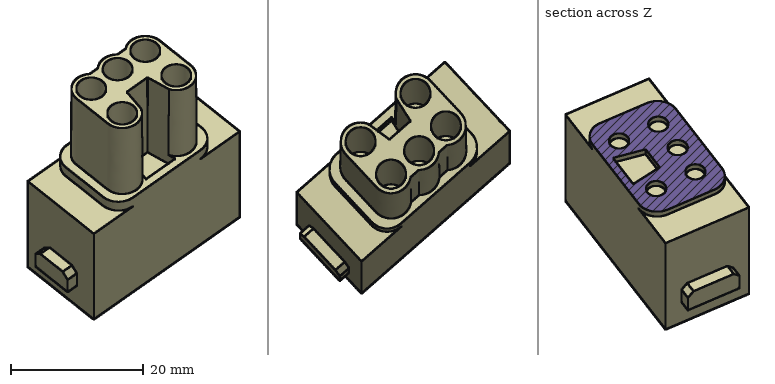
import cadquery as cq
import math

BODY_WIDTH = 14.6
BODY_LENGTH = 30.3
BODY_HEIGHT = 19.5

FLANGE_LENGTH = 20.45
FLANGE_HEIGHT = 2.0
FLANGE_RADIUS = 3.2
FLANGE_TOP = BODY_HEIGHT + FLANGE_HEIGHT

TOTAL_HEIGHT = 36.4
TOWER_HEIGHT = TOTAL_HEIGHT - FLANGE_TOP
LOBE_RADIUS = 3.1
DRAFT_INSET = 0.09
DRAFT_ANGLE = math.degrees(math.atan(DRAFT_INSET / TOWER_HEIGHT))
CONTACT_X = 3.42
CONTACT_Y = 5.6
MIDDLE_CONTACT_X = -3.55
WEB_LEFT = -5.85
WEB_RIGHT = CONTACT_X

HOLE_RADIUS = 2.25
BORE_RADIUS = 1.5
BORE_DEPTH = FLANGE_HEIGHT

KEY_INNER_X = 0.85
KEY_OUTER_X = 5.95
KEY_INNER_WIDTH = 4.15
KEY_OUTER_WIDTH = 6.05
KEY_POCKET_DEPTH = FLANGE_HEIGHT

TOTAL_LENGTH = 34.1
TAB_BOTTOM = 4.65
TAB_HEIGHT = 3.75
TAB_PROJECTION = (TOTAL_LENGTH - BODY_LENGTH) / 2
FRONT_TAB_WIDTH = 7.15
FRONT_TAB_CHAMFER = 1.1
BACK_TAB_WIDTH = 9.0
BACK_TAB_CHAMFER = 1.0
TAB_CHAMFER_HEIGHT = 0.95

KEY_CORNERS = [
    (KEY_INNER_X, -KEY_INNER_WIDTH / 2),
    (KEY_OUTER_X, -KEY_OUTER_WIDTH / 2),
    (KEY_OUTER_X, KEY_OUTER_WIDTH / 2),
    (KEY_INNER_X, KEY_INNER_WIDTH / 2),
]

CORNER_CONTACTS = [(x, y) for x in (-CONTACT_X, CONTACT_X) for y in (-CONTACT_Y, CONTACT_Y)]
CONTACTS = CORNER_CONTACTS + [(MIDDLE_CONTACT_X, 0)]


def make_body():
    block = cq.Workplane("XY").box(BODY_WIDTH, BODY_LENGTH, BODY_HEIGHT, centered=(True, True, False))
    flange = (
        cq.Workplane("XY", origin=(0, 0, BODY_HEIGHT))
        .rect(BODY_WIDTH, FLANGE_LENGTH)
        .extrude(FLANGE_HEIGHT)
        .edges("|Z")
        .fillet(FLANGE_RADIUS)
    )
    return block.union(flange)


def make_tab(width, chamfer_width, end_y):
    """Tab centred on X with chamfered upper corners, projecting from end_y toward -Y."""
    half = width / 2
    top = TAB_BOTTOM + TAB_HEIGHT
    shoulder = top - TAB_CHAMFER_HEIGHT
    outline = [
        (-half, TAB_BOTTOM),
        (half, TAB_BOTTOM),
        (half, shoulder),
        (half - chamfer_width, top),
        (chamfer_width - half, top),
        (-half, shoulder),
    ]
    return cq.Workplane("XZ", origin=(0, end_y, 0)).polyline(outline).close().extrude(TAB_PROJECTION)


def make_tower():
    """Lobed outline with the key slot removed, drafted as a whole so every wall leans in."""
    outline = (
        cq.Sketch()
        .push([((WEB_LEFT + WEB_RIGHT) / 2, 0)])
        .rect(WEB_RIGHT - WEB_LEFT, 2 * CONTACT_Y)
        .reset()
        .rect(2 * CONTACT_X, 2 * (CONTACT_Y + LOBE_RADIUS))
        .push(CONTACTS)
        .circle(LOBE_RADIUS)
        .reset()
        .clean()
        .polygon(KEY_CORNERS + KEY_CORNERS[:1], mode="s")
    )
    foot = cq.Workplane("XY", origin=(0, 0, FLANGE_TOP))
    return foot.placeSketch(outline).extrude(TOWER_HEIGHT, taper=DRAFT_ANGLE)


def make_holes():
    wide = cq.Workplane("XY", origin=(0, 0, FLANGE_TOP)).pushPoints(CONTACTS).circle(HOLE_RADIUS)
    narrow = cq.Workplane("XY", origin=(0, 0, FLANGE_TOP)).pushPoints(CONTACTS).circle(BORE_RADIUS)
    return wide.extrude(TOWER_HEIGHT).union(narrow.extrude(-BORE_DEPTH))


front_tab = make_tab(FRONT_TAB_WIDTH, FRONT_TAB_CHAMFER, -BODY_LENGTH / 2)
back_tab = make_tab(BACK_TAB_WIDTH, BACK_TAB_CHAMFER, BODY_LENGTH / 2 + TAB_PROJECTION)
flange_plane = cq.Workplane("XY", origin=(0, 0, FLANGE_TOP))
key_pocket = flange_plane.polyline(KEY_CORNERS).close().extrude(-KEY_POCKET_DEPTH)

result = make_body().union(front_tab).union(back_tab).union(make_tower())
result = result.cut(key_pocket).cut(make_holes())